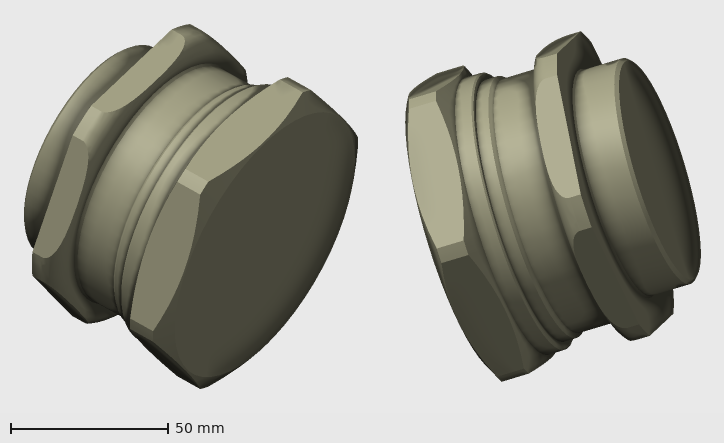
import cadquery as cq
import math


ACROSS_FLATS = 95.0
ACROSS_CORNERS = ACROSS_FLATS / math.cos(math.pi / 6)

PLUG_DIA = 75.0
PLUG_CHAMFER = 1.2
PLUG_BEAD_WIDTH = 0.6
PLUG_BEAD_RISE = 0.5

LOCK_NUT_START = 15.2
LOCK_NUT_WIDTH = 9.8
LOCK_NUT_END = LOCK_NUT_START + LOCK_NUT_WIDTH
LOCK_NUT_CORNER_DIA = 103.9
LOCK_NUT_ROUND = 6.0

SLEEVE_DIA = 84.4
SLEEVE_BEAD_WIDTH = 1.0
SLEEVE_BEAD_RISE = 0.5

RING_START = 40.4
RING_DIA = 87.0
RING_CHAMFER = (RING_DIA - SLEEVE_DIA) / 2

CAP_START = 46.0
CAP_END = 68.7
COLLAR_DIA = 92.0
COLLAR_CHAMFER = 0.5
CAP_HEX_START = 52.1
CAP_CORNER_DIA = 107.0
CAP_FRONT_CONE_LENGTH = 3.6
CAP_BACK_CHAMFER_LENGTH = 3.7
CAP_BACK_CHAMFER_RISE = CAP_BACK_CHAMFER_LENGTH * math.tan(math.pi / 3)


def revolve_about_x(profile):
    """Turn a closed (x, radius) profile a full turn about the X axis."""
    return profile.close().revolve(360, (0, 0, 0), (1, 0, 0))


def hex_bar(start, end):
    """Hexagonal bar along X between two stations."""
    return cq.Workplane("YZ", origin=(start, 0, 0)).polygon(6, ACROSS_CORNERS).extrude(end - start)


def make_plug():
    """Solid plug with a chamfered free end and a flared bead against the lock nut."""
    radius = PLUG_DIA / 2
    profile = cq.Workplane("XY").polyline([
        (0, 0),
        (0, radius - PLUG_CHAMFER),
        (PLUG_CHAMFER, radius),
        (LOCK_NUT_START - PLUG_BEAD_WIDTH, radius),
        (LOCK_NUT_START, radius + PLUG_BEAD_RISE),
        (LOCK_NUT_START, radius),
        (LOCK_NUT_END, radius),
        (LOCK_NUT_END, 0),
    ])
    return revolve_about_x(profile)


def make_lock_nut():
    """Hexagon ring on the plug: turned corners and a quarter-round edge facing the sleeve."""
    bore_radius = PLUG_DIA / 2
    corner_radius = LOCK_NUT_CORNER_DIA / 2
    round_start = LOCK_NUT_END - LOCK_NUT_ROUND
    round_centre_radius = corner_radius - LOCK_NUT_ROUND
    round_middle = (
        round_start + LOCK_NUT_ROUND * math.sin(math.pi / 4),
        round_centre_radius + LOCK_NUT_ROUND * math.cos(math.pi / 4),
    )
    profile = (
        cq.Workplane("XY")
        .moveTo(LOCK_NUT_START, bore_radius)
        .lineTo(LOCK_NUT_START, corner_radius)
        .lineTo(round_start, corner_radius)
        .threePointArc(round_middle, (LOCK_NUT_END, round_centre_radius))
        .lineTo(LOCK_NUT_END, bore_radius)
    )
    return revolve_about_x(profile).intersect(hex_bar(LOCK_NUT_START, LOCK_NUT_END))


def make_sleeve():
    """Solid sleeve from the lock nut to the cap nut, with a flared bead at the lock nut."""
    radius = SLEEVE_DIA / 2
    profile = cq.Workplane("XY").polyline([
        (LOCK_NUT_END, 0),
        (LOCK_NUT_END, radius + SLEEVE_BEAD_RISE),
        (LOCK_NUT_END + SLEEVE_BEAD_WIDTH, radius),
        (CAP_START, radius),
        (CAP_START, 0),
    ])
    return revolve_about_x(profile)


def make_sealing_ring():
    """Thin ring on the sleeve, with its front edge chamfered down to the sleeve surface."""
    profile = cq.Workplane("XY").polyline([
        (RING_START, SLEEVE_DIA / 2),
        (RING_START + RING_CHAMFER, RING_DIA / 2),
        (CAP_START, RING_DIA / 2),
        (CAP_START, SLEEVE_DIA / 2),
    ])
    return revolve_about_x(profile)


def make_cap_nut():
    """Cap nut: a chamfered round collar, then a hexagon with coned ends and turned corners."""
    collar_radius = COLLAR_DIA / 2
    corner_radius = CAP_CORNER_DIA / 2
    profile = cq.Workplane("XY").polyline([
        (CAP_START, 0),
        (CAP_START, collar_radius - COLLAR_CHAMFER),
        (CAP_START + COLLAR_CHAMFER, collar_radius),
        (CAP_HEX_START, collar_radius),
        (CAP_HEX_START + CAP_FRONT_CONE_LENGTH, corner_radius),
        (CAP_END - CAP_BACK_CHAMFER_LENGTH, corner_radius),
        (CAP_END, corner_radius - CAP_BACK_CHAMFER_RISE),
        (CAP_END, 0),
    ])
    return revolve_about_x(profile).intersect(hex_bar(CAP_START, CAP_END))


plug = make_plug()
lock_nut = make_lock_nut()
sleeve = make_sleeve()
sealing_ring = make_sealing_ring()
cap_nut = make_cap_nut()

result = cq.Compound.makeCompound([
    plug.val(),
    lock_nut.val(),
    sleeve.val(),
    sealing_ring.val(),
    cap_nut.val(),
])